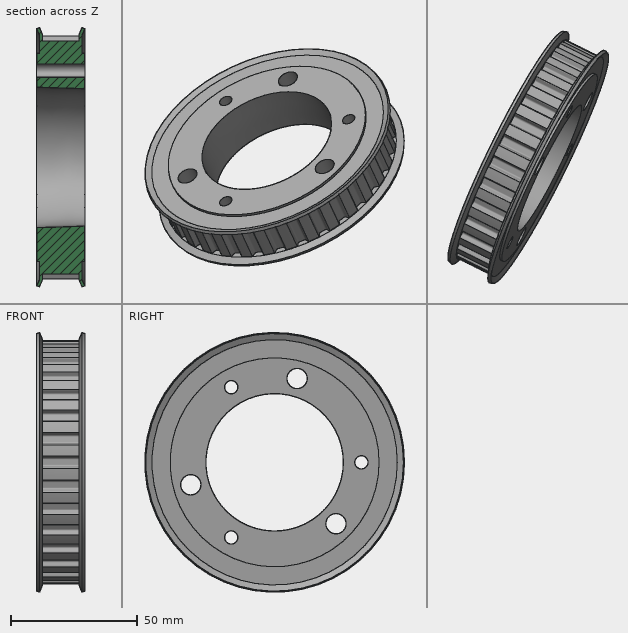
import cadquery as cq
import math

overall_width = 19.2
tooth_width = 14.3
flange_sheet = 1.3
hub_step = 1.0

outer_radius = 51.4
tooth_radius = 48.2
flange_bend_radius = 48.5
hub_radius = 41.3
bore_large_radius = 27.7
bore_small_radius = 27.1

rim_edge_lean = 20.0

groove_count = 32
groove_depth = 2.1
groove_floor_width = 3.1
groove_flank_angle = 20.0
groove_fillet = 0.7

hole_circle_radius = 34.3
holes_per_set = 3
large_hole_diameter = 7.9
large_hole_angle = 75.0
small_hole_diameter = 5.1
small_hole_angle = 0.0

axis_start = (0, 0, 0)
axis_end = (1, 0, 0)

tooth_end = tooth_width / 2
flange_face = tooth_end + flange_sheet
hub_face = flange_face + hub_step
rim_end = overall_width / 2


def revolve_about_x(points):
    """Revolve a closed (x, radius) outline about the X axis."""
    outline = cq.Workplane("XY").polyline(points).close()
    return outline.revolve(360, axis_start, axis_end)


def make_hub():
    """Central body with a bore that narrows towards +X."""
    return revolve_about_x([
        (-hub_face, bore_large_radius),
        (-hub_face, hub_radius),
        (hub_face, hub_radius),
        (hub_face, bore_small_radius),
    ])


def make_groove():
    """Trapezoidal cutter for the groove at +Y, with rounded floor corners and tooth tips."""
    floor_y = tooth_radius - groove_depth
    slope = math.radians(groove_flank_angle)
    half_floor = groove_floor_width / 2
    half_mouth = half_floor + groove_depth * math.tan(slope)
    half_turn = (math.pi / 2 - slope) / 2
    setback = groove_fillet * math.tan(half_turn)
    rise = setback * math.cos(slope)
    shift = setback * math.sin(slope)
    mid_side = groove_fillet * math.sin(half_turn)
    mid_rise = groove_fillet * (1 - math.cos(half_turn))
    floor_tangent = half_floor - setback
    mouth_tangent = half_mouth + setback

    return (
        cq.Workplane("YZ", origin=(-tooth_end, 0, 0))
        .moveTo(floor_y, 0)
        .lineTo(floor_y, floor_tangent)
        .threePointArc(
            (floor_y + mid_rise, floor_tangent + mid_side),
            (floor_y + rise, half_floor + shift),
        )
        .lineTo(tooth_radius - rise, half_mouth - shift)
        .threePointArc(
            (tooth_radius - mid_rise, mouth_tangent - mid_side),
            (tooth_radius, mouth_tangent),
        )
        .lineTo(outer_radius, mouth_tangent)
        .lineTo(outer_radius, 0)
        .mirrorX()
        .extrude(tooth_width)
    )


def make_toothed_ring():
    """Ring around the hub carrying the belt grooves."""
    ring = revolve_about_x([
        (-tooth_end, hub_radius),
        (-tooth_end, tooth_radius),
        (tooth_end, tooth_radius),
        (tooth_end, hub_radius),
    ])
    groove = make_groove()
    for index in range(groove_count):
        turned = groove.rotate(axis_start, axis_end, index * 360 / groove_count)
        ring = ring.cut(turned)
    return ring


def make_flange():
    """Flat sheet ring on the +X side whose rim is bent outwards."""
    lean = math.radians(rim_edge_lean)
    rim_inner_x = rim_end - flange_sheet * math.cos(lean)
    rim_outer_radius = outer_radius - flange_sheet * math.sin(lean)
    return revolve_about_x([
        (tooth_end, hub_radius),
        (tooth_end, flange_bend_radius),
        (rim_inner_x, outer_radius),
        (rim_end, rim_outer_radius),
        (flange_face, flange_bend_radius),
        (flange_face, hub_radius),
    ])


def make_holes(diameter, start_angle):
    """Evenly spaced through-hole cutters on the bolt circle."""
    return (
        cq.Workplane("YZ", origin=(-rim_end, 0, 0))
        .polarArray(hole_circle_radius, start_angle, 360, holes_per_set)
        .circle(diameter / 2)
        .extrude(overall_width)
    )


flange = make_flange()
result = (
    make_hub()
    .union(make_toothed_ring())
    .union(flange)
    .union(flange.mirror("YZ"))
    .cut(make_holes(large_hole_diameter, large_hole_angle))
    .cut(make_holes(small_hole_diameter, small_hole_angle))
)